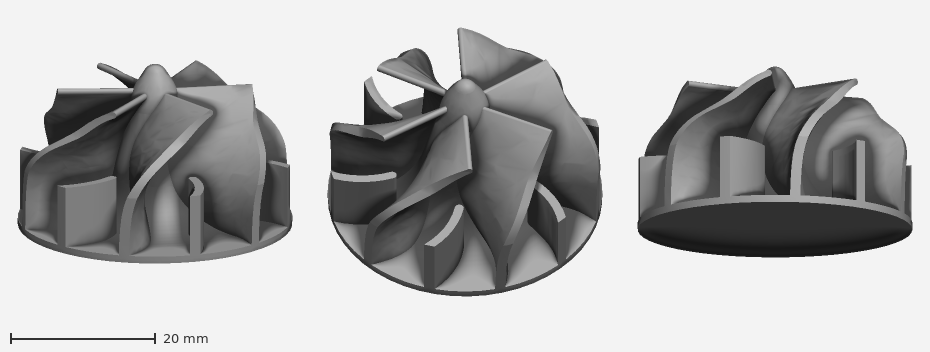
import cadquery as cq
import math

blade_count = 6
pitch_angle = 360 / blade_count
rim_radius = 19.0
disk_height = 1.0
total_height = 23.0

foot_radius = 13.95
foot_fillet = 8.1
cone_half_angle = 14.0
cone_top_z = 16.85
nose_middle = (2.9, 19.75)
cap_base = (1.45, 22.2)

splitter_top_z = 9.55
splitter_thickness = 1.25
splitter_inner = (-1.5, -11.1)
splitter_middle = (-3.23, -15.05)
splitter_outer = (-6.65, -18.43)

first_blade_angle = 30.0
leading_shift = 0.23
leading_root = cq.Vector(1.9, -leading_shift, 19.08)
leading_tip = cq.Vector(13.5, -leading_shift, 19.35)
leading_edge_radius = 0.45
leading_slope = 35.0

buried_z = disk_height - 0.6
tip_reach = rim_radius + 0.2
trailing_angle = 49.0
trailing_half_width = 0.72
root_stations = [
    (3.05, 17.85, 24.0, 0.7),
    (3.42, 15.8, 48.0, 0.85),
    (4.55, 11.63, 70.0, 1.05),
    (6.08, 5.9, 60.5, 1.0),
    (9.5, 1.9, 44.5, 0.85),
    (13.68, buried_z, 41.0, 0.75),
    (17.1, buried_z, 46.0, trailing_half_width),
]
tip_stations = [
    (13.87, 17.65, 13.8, 0.9),
    (14.55, 15.85, 22.8, 1.0),
    (17.1, 13.38, 35.5, 0.8),
    (18.6, 11.02, 42.3, trailing_half_width),
    (19.05, 9.05, 45.6, trailing_half_width),
    (tip_reach, 4.55, 48.4, trailing_half_width),
    (tip_reach, buried_z, trailing_angle, trailing_half_width),
]


def make_hub():
    """Disk and hub as one revolved profile."""
    cone_slope = math.radians(cone_half_angle)
    foot_center_z = disk_height + foot_fillet

    def on_foot(angle):
        return (
            foot_radius - foot_fillet * math.cos(angle),
            foot_center_z - foot_fillet * math.sin(angle),
        )

    cone_base = on_foot(cone_slope)
    foot_middle = on_foot((cone_slope + math.pi / 2) / 2)
    cone_top_radius = cone_base[0] - (cone_top_z - cone_base[1]) * math.tan(cone_slope)

    cap_radius, cap_base_z = cap_base
    cap_height = total_height - cap_base_z
    sphere_radius = (cap_radius**2 + cap_height**2) / (2 * cap_height)
    half_cap_angle = math.asin(cap_radius / sphere_radius) / 2
    cap_middle = (
        sphere_radius * math.sin(half_cap_angle),
        total_height - sphere_radius * (1 - math.cos(half_cap_angle)),
    )
    return (
        cq.Workplane("XZ")
        .lineTo(rim_radius, 0)
        .lineTo(rim_radius, disk_height)
        .lineTo(foot_radius, disk_height)
        .threePointArc(foot_middle, cone_base)
        .lineTo(cone_top_radius, cone_top_z)
        .threePointArc(nose_middle, cap_base)
        .threePointArc(cap_middle, (0, total_height))
        .close()
        .revolve(360, (0, 0, 0), (0, 1, 0))
    )


def face_point(station, side):
    """Point on one blade face; side is +1 for the upper face and -1 for the lower face."""
    radius, height, angle, half_width = station
    turn = math.radians(-angle)
    offset = side * half_width
    return cq.Vector(
        radius * math.cos(turn) + offset * math.sin(turn),
        radius * math.sin(turn) - offset * math.cos(turn),
        height,
    )


def face_edge(leading_point, stations, side):
    """Spline along the root or tip of one blade face, starting on the leading edge bar."""
    slope = math.radians(leading_slope)
    normal = cq.Vector(0, -math.sin(slope), math.cos(slope))
    start = leading_point + normal * (side * leading_edge_radius)
    return cq.Edge.makeSpline([start] + [face_point(station, side) for station in stations])


def make_blade():
    """Blade with its leading edge along +X, sweeping clockwise and down to the rim."""
    ruled = cq.Face.makeRuledSurface
    upper_root, lower_root = [face_edge(leading_root, root_stations, side) for side in (1, -1)]
    upper_tip, lower_tip = [face_edge(leading_tip, tip_stations, side) for side in (1, -1)]

    def end_face(position):
        upper = cq.Edge.makeLine(upper_root.positionAt(position), upper_tip.positionAt(position))
        lower = cq.Edge.makeLine(lower_root.positionAt(position), lower_tip.positionAt(position))
        return ruled(lower, upper)

    faces = [
        ruled(upper_root, upper_tip),
        ruled(lower_root, lower_tip),
        ruled(upper_root, lower_root),
        ruled(upper_tip, lower_tip),
        end_face(0),
        end_face(1),
    ]
    body = cq.Solid.makeSolid(cq.Shell.makeShell(faces)).fix()
    span = leading_tip - leading_root
    leading_bar = cq.Solid.makeCylinder(leading_edge_radius, span.Length, leading_root, span)
    return cq.Workplane(body).union(cq.Workplane(leading_bar))


def make_splitter():
    """Upright plate along an arc, rooted in the disk, with a round inner end."""
    root_z = disk_height / 2
    return (
        cq.Workplane("XY", origin=(0, 0, root_z))
        .moveTo(*splitter_inner)
        .threePointArc(splitter_middle, splitter_outer)
        .offset2D(splitter_thickness / 2)
        .extrude(splitter_top_z - root_z)
    )


def add_ring(body, vane, start_angle):
    """Join evenly spaced copies of a vane to the body."""
    for index in range(blade_count):
        turn = start_angle + index * pitch_angle
        body = body.union(vane.rotate((0, 0, 0), (0, 0, 1), turn))
    return body


wheel = add_ring(make_hub(), make_blade(), first_blade_angle)
wheel = add_ring(wheel, make_splitter(), 0)

envelope = cq.Workplane("XY").circle(rim_radius).extrude(total_height)
result = wheel.intersect(envelope)